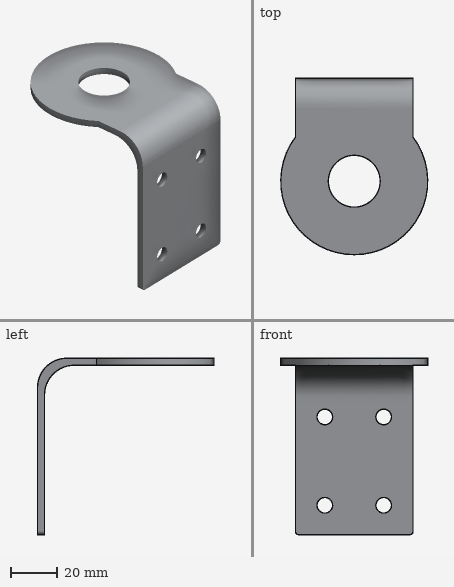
import cadquery as cq

height = 76.2
depth = 76.2
thickness = 3.1
strap_width = 50.8
bend_radius = 12.7
disc_diameter = 63.5
disc_hole_diameter = 22.25
mount_hole_diameter = 6.6
mount_spacing_x = 25.4
mount_spacing_z = 38.1
mount_top_offset = 25.4
corner_radius = 1.5

disc_center_y = -(depth - disc_diameter / 2)
mount_center_z = -(mount_top_offset + mount_spacing_z / 2)


def make_strap():
    """L-shaped bent strap, with its horizontal leg ending at the disc centre."""
    inner_bend_end = thickness + bend_radius
    strap = (
        cq.Workplane("YZ")
        .moveTo(0, -height)
        .lineTo(0, -bend_radius)
        .radiusArc((-bend_radius, 0), -bend_radius)
        .lineTo(disc_center_y, 0)
        .lineTo(disc_center_y, -thickness)
        .lineTo(-inner_bend_end, -thickness)
        .radiusArc((-thickness, -inner_bend_end), bend_radius)
        .lineTo(-thickness, -height)
        .close()
        .extrude(strap_width / 2, both=True)
    )
    return strap.faces("<Z").edges("|Y").fillet(corner_radius)


def cylinder_below_top(diameter):
    """Cylinder through the plate thickness at the disc centre."""
    return (
        cq.Workplane("XY")
        .center(0, disc_center_y)
        .circle(diameter / 2)
        .extrude(-thickness)
    )


def make_mount_holes():
    """Four cutters through the vertical leg."""
    return (
        cq.Workplane("XZ")
        .center(0, mount_center_z)
        .rarray(mount_spacing_x, mount_spacing_z, 2, 2)
        .circle(mount_hole_diameter / 2)
        .extrude(thickness)
    )


result = (
    make_strap()
    .union(cylinder_below_top(disc_diameter))
    .cut(cylinder_below_top(disc_hole_diameter))
    .cut(make_mount_holes())
)